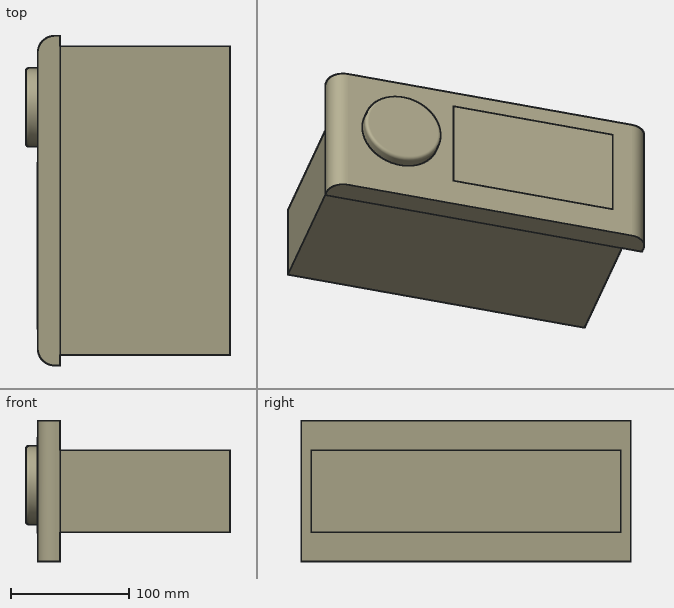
import cadquery as cq


panel_thickness = 19.0
panel_width = 278.65
panel_height = 119.0
panel_edge_radius = 14.5

casing_width = 261.0
casing_height = 69.5

knob_length = 10.0
knob_radius = 33.5
knob_edge_radius = 3.0
knob_y = 78.8

screen_width = 140.0
screen_height = 80.0
screen_rise = 0.1
screen_y = -38.0

controls_z = 5.0

overall_depth = 172.7
casing_depth = overall_depth - panel_thickness - knob_length
panel_front_x = -panel_thickness


def make_panel():
    """Front plate with rounded upright front edges and the display area on its face."""
    plate = (
        cq.Workplane("XY")
        .box(panel_thickness, panel_width, panel_height, centered=(False, True, True))
        .translate((panel_front_x, 0, 0))
        .edges("|Z and <X")
        .fillet(panel_edge_radius)
    )
    screen = (
        cq.Workplane("YZ", origin=(panel_front_x, screen_y, controls_z))
        .rect(screen_width, screen_height)
        .extrude(-screen_rise)
    )
    return plate.union(screen)


def make_casing():
    """Plain block centred on the rear face of the panel."""
    return cq.Workplane("YZ").rect(casing_width, casing_height).extrude(casing_depth)


def make_knob():
    """Round knob standing on the panel front, its outer rim rounded."""
    return (
        cq.Workplane("YZ", origin=(panel_front_x, knob_y, controls_z))
        .circle(knob_radius)
        .extrude(-knob_length)
        .faces("<X")
        .edges()
        .fillet(knob_edge_radius)
    )


panel = make_panel()
casing = make_casing()
knob = make_knob()

result = cq.Compound.makeCompound([panel.val(), casing.val(), knob.val()])